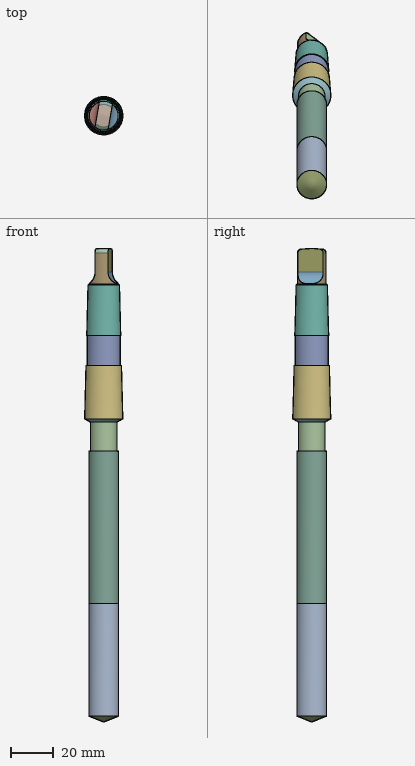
import cadquery as cq
import math

overall_length = 222.2
split_height = 55.5
body_top = 127.1
neck_top = 140.7
taper_bottom = 142.2
recess_bottom = 167.4
recess_top = 181.4
taper_top = 205.0
tang_foot = 205.5

drill_diameter = 14.0
neck_diameter = 12.5
taper_large_diameter = 18.0
recess_diameter = 15.5
tang_diameter = 13.5

taper_rate = 0.05
point_angle = 136.0

tang_thickness = 6.2
tang_turn = -10.0
flat_length = 11.1
runout_radius = 6.0
tang_edge_radius = 1.8
tang_dome_height = 0.7


def taper_radius(height):
    """Radius of the tapered shank at a given height."""
    return (taper_large_diameter - taper_rate * (height - taper_bottom)) / 2


def make_cutting_part():
    """Plain cylinder with a conical drill point."""
    radius = drill_diameter / 2
    point_height = radius / math.tan(math.radians(point_angle / 2))
    return (
        cq.Workplane("XZ")
        .moveTo(0, 0)
        .lineTo(radius, point_height)
        .lineTo(radius, split_height)
        .lineTo(0, split_height)
        .close()
        .revolve(360, (0, 0), (0, 1))
    )


def make_shank_blank():
    """Turned shank: drill body, neck, recessed taper and a round tang with a rounded end."""
    tang_radius = tang_diameter / 2
    dome_radius = (tang_radius**2 + tang_dome_height**2) / (2 * tang_dome_height)
    dome_mid_x = tang_radius / 2
    dome_mid_z = overall_length - dome_radius + math.sqrt(dome_radius**2 - dome_mid_x**2)
    dome_rim_z = overall_length - tang_dome_height
    return (
        cq.Workplane("XZ")
        .moveTo(0, split_height)
        .lineTo(drill_diameter / 2, split_height)
        .lineTo(drill_diameter / 2, body_top)
        .lineTo(neck_diameter / 2, body_top)
        .lineTo(neck_diameter / 2, neck_top)
        .lineTo(taper_large_diameter / 2, taper_bottom)
        .lineTo(taper_radius(recess_bottom), recess_bottom)
        .lineTo(recess_diameter / 2, recess_bottom)
        .lineTo(recess_diameter / 2, recess_top)
        .lineTo(taper_radius(recess_top), recess_top)
        .lineTo(taper_radius(taper_top), taper_top)
        .lineTo(tang_radius, tang_foot)
        .lineTo(tang_radius, dome_rim_z)
        .threePointArc((dome_mid_x, dome_mid_z), (0, overall_length))
        .close()
        .revolve(360, (0, 0), (0, 1))
        .edges(cq.selectors.NearestToPointSelector((0, 0, dome_rim_z)))
        .fillet(tang_edge_radius)
    )


def make_flat_cutter(side):
    """Material removed on one side (+1 or -1) of the tang, with a round run-out at its foot."""
    flat_x = side * tang_thickness / 2
    foot_x = flat_x + side * runout_radius
    flat_bottom = overall_length - flat_length
    arc_reach = runout_radius * math.sqrt(0.5)
    return (
        cq.Workplane("XZ")
        .moveTo(flat_x, overall_length)
        .lineTo(flat_x, flat_bottom)
        .threePointArc(
            (foot_x - side * arc_reach, flat_bottom - arc_reach),
            (foot_x, flat_bottom - runout_radius),
        )
        .lineTo(foot_x, overall_length)
        .close()
        .extrude(taper_large_diameter / 2, both=True)
        .rotate((0, 0, 0), (0, 0, 1), tang_turn)
    )


def make_shank():
    """Shank with the two tang flats milled away."""
    shank = make_shank_blank()
    for side in (-1, 1):
        shank = shank.cut(make_flat_cutter(side))
    return shank


cutting_part = make_cutting_part()
shank = make_shank()

result = cq.Compound.makeCompound([cutting_part.val(), shank.val()])